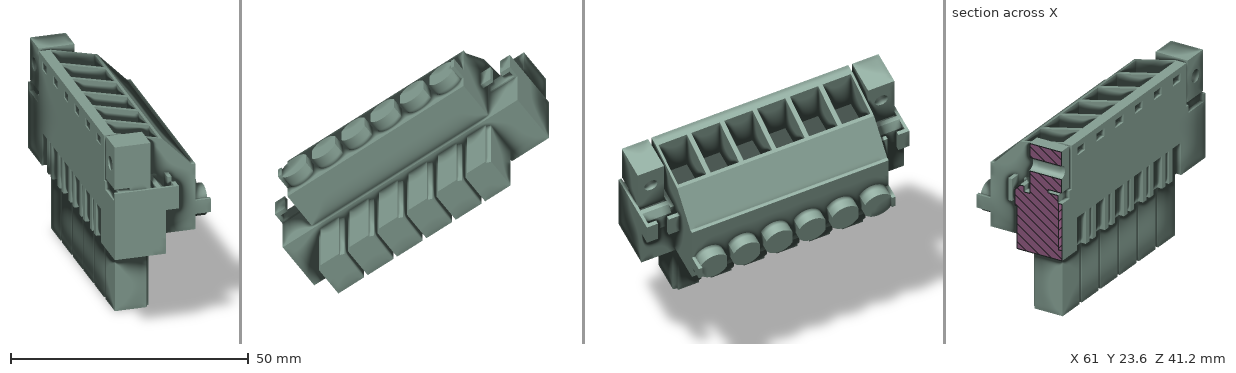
import cadquery as cq

pole_count = 6
pole_pitch = 7.6
core_width = pole_count * pole_pitch
overall_width = 60.95

core_height = 25.5
flange_height = 15.25
lug_height = 25.65
plug_length = 15.55

recess_depth = 1.2
slot_height = 7.7
wide_slot_width = 3.55
narrow_slot_width = 1.3
window_width = 3.05
window_height = 1.8
window_bottom = 22.25

lower_depth = 11.35
core_depth = 20.2
overhang_bottom = 1.2
top_flat_depth = 2.55
ridge_y = 12.85
ridge_z = 23.05
rear_ledge_y = 19.4
rear_ledge_z = 16.35

pocket_width = 6.6
pocket_front = 2.45
pocket_back = 12.15
pocket_floor = flange_height

screw_head_diameter = 6.9
screw_head_width = 6.05
screw_head_length = 2.85
rear_feature_z = 6.3
ear_width = 0.85
ear_height = 3.1
ear_length = 3.4

outer_wall = 0.7
front_wall = 1.0
lug_width = 6.1
hook_back = 14.15
hook_bottom = 10.05
lip_thickness = 0.9
lip_length = 2.55
upper_notch_bottom = 13.4
lower_notch_top = 2.4

lug_x = overall_width / 2 - outer_wall - lug_width / 2
lug_head_front = 0.2
lug_head_back = 8.1
lug_head_bottom = 15.9
lug_neck_front = 3.55
lug_body_top = flange_height
catch_front = 9.4
catch_crest_end = 10.4
catch_back = 11.75
catch_slope_bottom = lug_body_top - (catch_back - catch_crest_end)
lug_hole_diameter = 3.05
lug_hole_z = 20.7

plug_width = 6.65
plug_front = 2.55
plug_back = 10.3
plug_side_back = 9.6
rib_base_y = 9.95
rib_inset = 0.9


def box(x_range, y_range, z_range):
    """Axis-aligned block between the given (low, high) limits."""
    limits = (x_range, y_range, z_range)
    size = [high - low for low, high in limits]
    corner = [low for low, high in limits]
    return cq.Workplane("XY").box(*size, centered=False).translate(tuple(corner))


def centred(middle, width):
    """(low, high) limits of a width about its middle."""
    return (middle - width / 2, middle + width / 2)


def evenly_spaced(count):
    """X positions of a centred row at the pole pitch."""
    return [(i - (count - 1) / 2) * pole_pitch for i in range(count)]


def extrude_along_x(outline, x_range):
    """Prism of a (Y, Z) outline between two X limits."""
    low, high = x_range
    return cq.Workplane("YZ").workplane(offset=low).polyline(outline).close().extrude(high - low)


def both_ends(left_end):
    """A left-end feature together with its mirror image at the right end."""
    return left_end.union(left_end.mirror("YZ"))


pole_positions = evenly_spaced(pole_count)
gap_positions = evenly_spaced(pole_count - 1)


def make_core():
    outline = [
        (0, 0),
        (0, core_height),
        (top_flat_depth, core_height),
        (ridge_y, ridge_z),
        (rear_ledge_y, rear_ledge_z),
        (core_depth, rear_ledge_z),
        (core_depth, overhang_bottom),
        (lower_depth, overhang_bottom),
        (lower_depth, 0),
    ]
    return extrude_along_x(outline, centred(0, core_width))


def make_left_flange():
    outer = -overall_width / 2
    lug_left = outer + outer_wall
    lug_right = lug_left + lug_width
    core_side = -core_width / 2
    hook_z = (hook_bottom, flange_height)
    lip_y = (hook_back - lip_thickness, hook_back)
    full_z = (0, flange_height)

    flange = box((outer, core_side), (0, front_wall), full_z)
    flange = flange.union(box((outer, lug_left), (0, lower_depth), full_z))
    flange = flange.union(box((lug_right, core_side), (0, lower_depth), full_z))
    flange = flange.union(box((outer, lug_left), (0, hook_back), hook_z))
    flange = flange.union(box((outer, outer + lip_length), lip_y, hook_z))
    flange = flange.union(box((core_side - lip_length, core_side), lip_y, hook_z))

    for notch_z in ((upper_notch_bottom, flange_height), (0, lower_notch_top)):
        flange = flange.cut(box((lug_left, lug_right), (0, front_wall), notch_z))
    return flange


def make_screw_head(x):
    """Round screw head with flattened sides, on the rear face."""
    round_head = (
        cq.Workplane("XZ", origin=(x, core_depth, rear_feature_z))
        .circle(screw_head_diameter / 2)
        .extrude(-screw_head_length)
    )
    flats = box(
        centred(x, screw_head_width),
        (core_depth, core_depth + screw_head_length),
        centred(rear_feature_z, screw_head_diameter),
    )
    return round_head.intersect(flats)


def make_left_ear():
    core_side = -core_width / 2
    return box(
        (core_side, core_side + ear_width),
        (core_depth, core_depth + ear_length),
        centred(rear_feature_z, ear_height),
    )


def make_housing():
    housing = make_core().union(both_ends(make_left_flange()))
    housing = housing.union(both_ends(make_left_ear()))
    recess_y = (0, recess_depth)
    slot_z = (0, slot_height)
    window_z = (window_bottom, window_bottom + window_height)
    pocket_y = (pocket_front, pocket_back)
    for x in pole_positions:
        housing = housing.union(make_screw_head(x))
        housing = housing.cut(box(centred(x, pocket_width), pocket_y, (pocket_floor, core_height)))
        housing = housing.cut(box(centred(x, window_width), recess_y, window_z))
        housing = housing.cut(box(centred(x, wide_slot_width), recess_y, slot_z))
    for x in gap_positions:
        housing = housing.cut(box(centred(x, narrow_slot_width), recess_y, slot_z))
    return housing


def make_lug(x):
    """Mounting lug: drilled head, body held in the flange, and a catch behind the head."""
    outline = [
        (0, 0),
        (0, lower_notch_top),
        (front_wall, lower_notch_top),
        (front_wall, lug_body_top),
        (lug_neck_front, lug_body_top),
        (lug_neck_front, lug_head_bottom),
        (lug_head_front, lug_head_bottom),
        (lug_head_front, lug_height),
        (lug_head_back, lug_height),
        (lug_head_back, catch_slope_bottom),
        (catch_front, catch_slope_bottom),
        (catch_front, lug_body_top),
        (catch_crest_end, lug_body_top),
        (catch_back, catch_slope_bottom),
        (catch_back, hook_bottom),
        (lower_depth, hook_bottom),
        (lower_depth, 0),
    ]
    lug = extrude_along_x(outline, centred(x, lug_width))
    hole = (
        cq.Workplane("XZ", origin=(x, 0, lug_hole_z))
        .circle(lug_hole_diameter / 2)
        .extrude(-lug_head_back)
    )
    return lug.cut(hole)


def make_plug(x):
    """Rectangular plug whose back slopes up to a slightly narrower raised rib."""
    half = plug_width / 2
    rib_half = half - rib_inset
    outline = [
        (x - half, plug_front),
        (x + half, plug_front),
        (x + half, plug_side_back),
        (x + rib_half, rib_base_y),
        (x + rib_half, plug_back),
        (x - rib_half, plug_back),
        (x - rib_half, rib_base_y),
        (x - half, plug_side_back),
    ]
    return cq.Workplane("XY").polyline(outline).close().extrude(-plug_length)


housing = make_housing()
lugs = [make_lug(x) for x in (-lug_x, lug_x)]
plugs = [make_plug(x) for x in pole_positions]

result = cq.Compound.makeCompound([housing.val(), *[body.val() for body in lugs + plugs]])